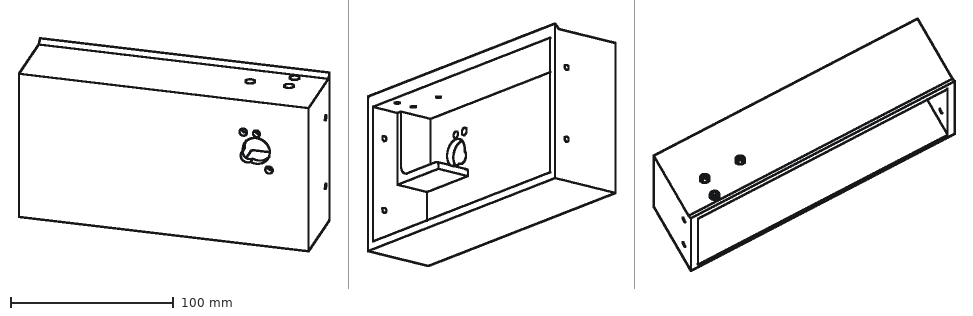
import cadquery as cq

LENGTH = 185.04
DEPTH = 47.57
HEIGHT = 100.0
LIP = 3.0
BODY_HEIGHT = HEIGHT - LIP
WALL = 5.0

FRONT_OPENINGS = [
    (143.3, 75.4, 4.7),
    (151.7, 75.4, 4.3),
    (159.7, 51.9, 4.7),
    (151.6, 63.8, 17.3),
    (145.8, 59.5, 8.3),
]

SCREW_DIAMETER = 3.2
COUNTERBORE_DIAMETER = 6.0
COUNTERBORE_DEPTH = 2.8
TOP_FRONT_Y = 28.1
TOP_REAR_Y = 40.6
TOP_LEFT_X = 139.8
TOP_RIGHT_X = 164.6
TOP_HOLES = [(TOP_LEFT_X, TOP_FRONT_Y), (TOP_RIGHT_X, TOP_FRONT_Y), (TOP_RIGHT_X, TOP_REAR_Y)]

END_HOLE_Y = 38.5
END_HOLE_HEIGHTS = [27.0, 73.4]

SHELF_LEFT = 139.7
SHELF_TOP = 50.6
SHELF_REAR = 28.2
UPRIGHT_LEFT = 176.5
BRACKET_RADIUS = 6.0
SHELF_EDGE_RADIUS = 2.2


def make_shell():
    """Five-walled box, open at the rear, with the lip along its rear top edge."""
    profile = [
        (0, 0),
        (DEPTH, 0),
        (DEPTH, HEIGHT),
        (DEPTH - LIP, BODY_HEIGHT),
        (0, BODY_HEIGHT),
    ]
    shell = cq.Workplane("YZ").polyline(profile).close().extrude(LENGTH)
    cavity = cq.Workplane("XY", origin=(WALL, WALL, WALL)).box(
        LENGTH - 2 * WALL, DEPTH - WALL, BODY_HEIGHT - 2 * WALL, centered=False
    )
    return shell.cut(cavity)


def make_bracket():
    """L-shaped bracket whose shelf curves up into the upright."""
    outer_right = LENGTH - WALL
    shelf_bottom = SHELF_TOP - WALL
    return (
        cq.Workplane("XZ", origin=(0, WALL, 0))
        .moveTo(SHELF_LEFT, shelf_bottom)
        .lineTo(outer_right, shelf_bottom)
        .lineTo(outer_right, BODY_HEIGHT - WALL)
        .lineTo(UPRIGHT_LEFT, BODY_HEIGHT - WALL)
        .lineTo(UPRIGHT_LEFT, SHELF_TOP + BRACKET_RADIUS)
        .radiusArc((UPRIGHT_LEFT - BRACKET_RADIUS, SHELF_TOP), BRACKET_RADIUS)
        .lineTo(SHELF_LEFT + SHELF_EDGE_RADIUS, SHELF_TOP)
        .radiusArc((SHELF_LEFT, SHELF_TOP - SHELF_EDGE_RADIUS), -SHELF_EDGE_RADIUS)
        .close()
        .extrude(WALL - SHELF_REAR)
    )


def cut_front_openings(part):
    """The large lobed opening and the three small holes around it."""
    for x, z, diameter in FRONT_OPENINGS:
        cutter = cq.Workplane("XZ", origin=(x, 0, z)).circle(diameter / 2).extrude(-WALL)
        part = part.cut(cutter)
    return part


def cut_top_holes(part):
    """Counterbored screw holes through the top wall."""
    top_face = cq.Workplane("XY", origin=(0, 0, BODY_HEIGHT)).pushPoints(TOP_HOLES)
    part = part.cut(top_face.circle(SCREW_DIAMETER / 2).extrude(-WALL))
    return part.cut(top_face.circle(COUNTERBORE_DIAMETER / 2).extrude(-COUNTERBORE_DEPTH))


def cut_end_holes(part):
    """Screw holes near the open rear of both end walls."""
    points = [(END_HOLE_Y, z) for z in END_HOLE_HEIGHTS]
    cutter = cq.Workplane("YZ").pushPoints(points).circle(SCREW_DIAMETER / 2).extrude(LENGTH)
    return part.cut(cutter)


box = make_shell().union(make_bracket())
box = cut_front_openings(box)
box = cut_top_holes(box)
result = cut_end_holes(box)